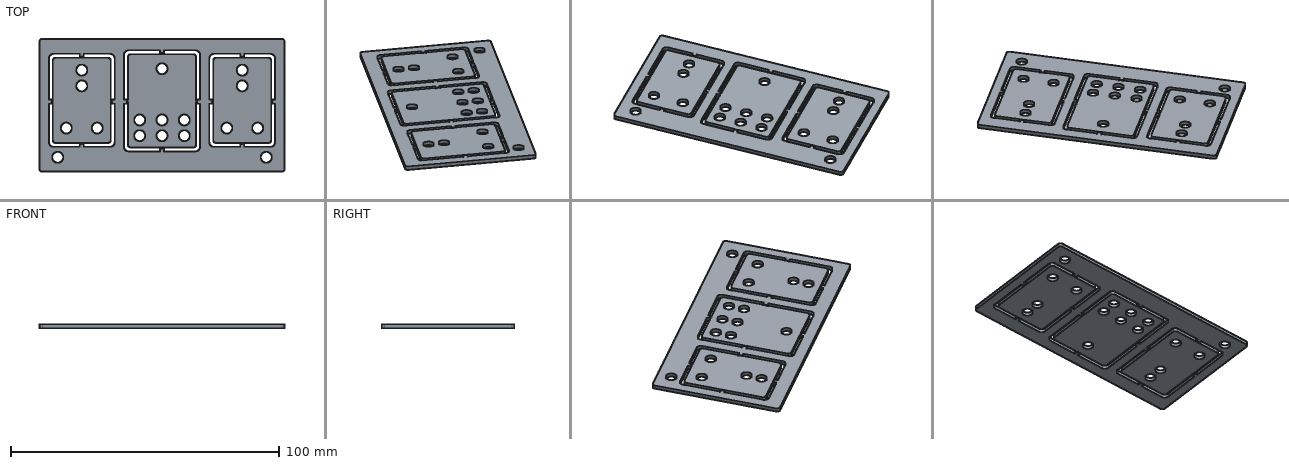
import cadquery as cq

plate_length = 91.4
plate_width = 49.6
plate_thickness = 1.6
plate_corner_radius = 1.1

gap = 1.4
gap_outer_radius = 1.65
gap_inner_radius = 1.1

side_window_length = 24.4
side_window_width = 34.6
side_window_x = 29.9
side_window_y = 1.8
centre_window_length = 28.3
centre_window_width = 37.6
centre_window_y = 1.65

tab_width = 1.65
side_tab_y = 1.4
perforation_diameter = 0.38
perforation_pitch = 0.8
perforation_offset = 0.2

hole_diameter = 4.0
hole_row_pitch = 5.85
side_upper_hole_y = 13.1
side_lower_hole_y = -8.5
side_lower_hole_spacing = 11.5
centre_upper_hole_y = 13.6
centre_lower_hole_y = -11.3
centre_hole_spacing = 8.3
carrier_hole_x = 38.9
carrier_hole_y = -19.4


def rounded_block(length, width, radius, x=0.0, y=0.0):
    """Full-thickness block with rounded vertical edges, resting on Z = 0."""
    block = cq.Workplane("XY").center(x, y).rect(length, width).extrude(plate_thickness)
    return block.edges("|Z").fillet(radius)


def through_holes(diameter, points):
    """Cylinders that pierce the whole plate at the given points."""
    return cq.Workplane("XY").pushPoints(points).circle(diameter / 2).extrude(plate_thickness)


def routed_gap(x, y, length, width):
    """Ring-shaped gap around one panel, interrupted by four tabs."""
    window = rounded_block(length, width, gap_outer_radius, x, y)
    panel = rounded_block(length - 2 * gap, width - 2 * gap, gap_inner_radius, x, y)
    end_tabs = cq.Workplane("XY").center(x, y).rect(tab_width, width).extrude(plate_thickness)
    side_tabs = cq.Workplane("XY").center(x, side_tab_y).rect(length, tab_width).extrude(plate_thickness)
    return window.cut(panel).cut(end_tabs).cut(side_tabs)


def perforation_points(x, y, length, width):
    """Two perforations in each tab of one panel."""
    reach_x = length / 2 - gap + perforation_offset
    reach_y = width / 2 - gap + perforation_offset
    points = []
    for side in (-1, 1):
        for shift in (-perforation_pitch / 2, perforation_pitch / 2):
            points.append((x + side * reach_x, side_tab_y + shift))
            points.append((x + shift, y + side * reach_y))
    return points


def side_panel_holes(x):
    """Two holes in a column near the top and a pair side by side near the bottom."""
    half_spacing = side_lower_hole_spacing / 2
    return [
        (x, side_upper_hole_y),
        (x, side_upper_hole_y - hole_row_pitch),
        (x - half_spacing, side_lower_hole_y),
        (x + half_spacing, side_lower_hole_y),
    ]


def centre_panel_holes():
    """One hole near the top and a grid of three by two near the bottom."""
    points = [(0.0, centre_upper_hole_y)]
    for column in (-1, 0, 1):
        for row in (0, 1):
            points.append((column * centre_hole_spacing, centre_lower_hole_y + row * hole_row_pitch))
    return points


windows = [
    (-side_window_x, side_window_y, side_window_length, side_window_width),
    (0.0, centre_window_y, centre_window_length, centre_window_width),
    (side_window_x, side_window_y, side_window_length, side_window_width),
]

hole_points = centre_panel_holes()
for mirror in (-1, 1):
    hole_points += side_panel_holes(mirror * side_window_x)
    hole_points.append((mirror * carrier_hole_x, carrier_hole_y))

result = rounded_block(plate_length, plate_width, plate_corner_radius)
for window in windows:
    result = result.cut(routed_gap(*window))
    result = result.cut(through_holes(perforation_diameter, perforation_points(*window)))
result = result.cut(through_holes(hole_diameter, hole_points))